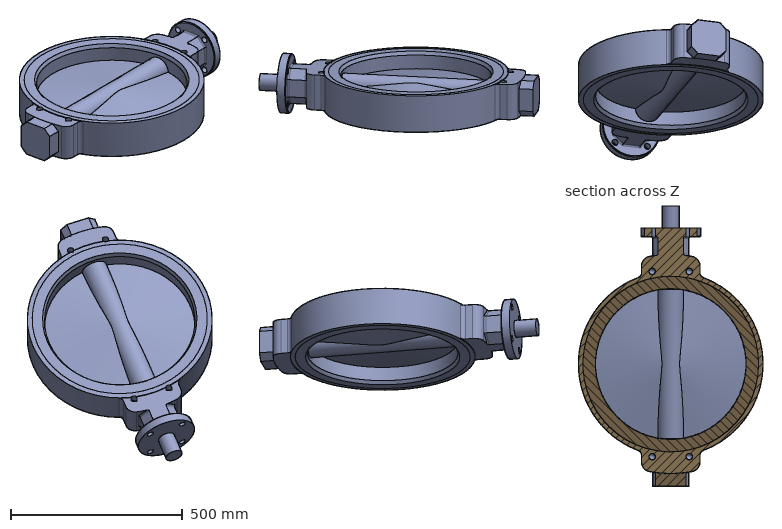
import cadquery as cq
import math


RING_DIAMETER = 538.0
RING_HEIGHT = 110.0

SEAT_RADIUS = 255.0
BORE_RADIUS = 219.0
BORE_CHAMFER_WIDTH = 6.0
BORE_CHAMFER_HEIGHT = 11.0

LUG_WIDTH = 171.0
LUG_HEIGHT = 106.0
LUG_END_RADIUS = 319.5
LUG_CORNER_RADIUS = 29.0
LUG_ROOT_RADIUS = 15.0

LUG_HOLE_DIAMETER = 18.0
LUG_HOLE_X = 54.0
LUG_HOLE_Y = 270.0
LUG_HOLE_DEPTH = 24.5
DRILL_POINT_ANGLE = 118

BLOCK_WIDTH = LUG_HEIGHT
NECK_CHAMFER = 27.0
NECK_FILLET = 4.0
JOINT_SAG = 8.0
JOINT_TOLERANCE = 1.0
CAP_CHAMFER = 20.0
CAP_END_Y = -356.0

FLANGE_RADIUS = 87.5
FLANGE_THICKNESS = 26.0
FLANGE_FACE_Y = 396.0
FLANGE_CHAMFER = 2.5
FLANGE_HOLE_DIAMETER = 18.0
FLANGE_HOLE_CIRCLE_DIAMETER = 140.0
FLANGE_HOLE_START_ANGLE = 45
FLANGE_HOLE_COUNT = 4

DISC_CENTRE_HALF_HEIGHT = 31.0
DISC_EDGE_HALF_HEIGHT = 3.0
HUB_DIAMETER = 76.0
HUB_HALF_LENGTH = 216.5

STEM_DIAMETER = 50.0
STEM_LENGTH = 752.0
STEM_TOP_Y = 461.0

RING_RADIUS = RING_DIAMETER / 2
HUB_RADIUS = HUB_DIAMETER / 2
STEM_RADIUS = STEM_DIAMETER / 2
FLANGE_BACK_Y = FLANGE_FACE_Y - FLANGE_THICKNESS
LUG_BAR_LENGTH = 3 * LUG_END_RADIUS
STEM_BOTTOM_Y = STEM_TOP_Y - STEM_LENGTH


def plate_z(radius, height):
    """Round plate about the bore axis, centred on Z = 0."""
    return cq.Workplane("XY").circle(radius).extrude(height / 2, both=True)


def revolve_about_bore(profile):
    """Solid of revolution about the Z axis from (radius, z) points."""
    return cq.Workplane("XZ").polyline(profile).close().revolve(360, (0, 0, 0), (0, 1, 0))


def workplane_at_y(y):
    """Plane square to the stem axis, facing +Y."""
    return cq.Workplane(cq.Plane(origin=(0, y, 0), xDir=(1, 0, 0), normal=(0, 1, 0)))


def rod_y(radius, y_start, y_end):
    """Round rod on the stem axis."""
    return workplane_at_y(y_start).circle(radius).extrude(y_end - y_start)


def octagon_y(chamfer, y_start, y_end):
    """Square bar on the stem axis with its four long edges chamfered."""
    bar = workplane_at_y(y_start).rect(BLOCK_WIDTH, BLOCK_WIDTH).extrude(y_end - y_start)
    return bar.edges("|Y").chamfer(chamfer)


def make_stem():
    """Straight stem; its shape also cuts the holes that it passes through."""
    return rod_y(STEM_RADIUS, STEM_BOTTOM_Y, STEM_TOP_Y)


def make_lug_bar():
    """Bar across the ring that forms both lugs, with rounded outer corners."""
    bar = cq.Workplane("XY").rect(LUG_WIDTH, LUG_BAR_LENGTH).extrude(LUG_HEIGHT / 2, both=True)
    bar = bar.intersect(plate_z(LUG_END_RADIUS, LUG_HEIGHT))
    return bar.edges("|Z").fillet(LUG_CORNER_RADIUS)


def make_lug_roots():
    """Concave fillets between the lug sides and the ring."""
    side_x = LUG_WIDTH / 2
    centre_x = side_x + LUG_ROOT_RADIUS
    centre_radius = RING_RADIUS + LUG_ROOT_RADIUS
    centre_y = math.sqrt(centre_radius**2 - centre_x**2)
    on_ring = RING_RADIUS / centre_radius
    inner_y = centre_y - 2 * LUG_ROOT_RADIUS
    root = (
        cq.Workplane("XY")
        .polyline([(side_x, inner_y), (side_x, centre_y), (centre_x, centre_y)])
        .lineTo(centre_x * on_ring, centre_y * on_ring)
        .close()
        .extrude(LUG_HEIGHT / 2, both=True)
    )
    relief = cq.Workplane("XY").center(centre_x, centre_y).circle(LUG_ROOT_RADIUS)
    root = root.cut(relief.extrude(LUG_HEIGHT / 2, both=True))
    pair = root.union(root.mirror("YZ"))
    return pair.union(pair.mirror("XZ"))


def make_lug_holes():
    """Four blind holes with conical bottoms, drilled from the top of the lugs."""
    radius = LUG_HOLE_DIAMETER / 2
    top_z = RING_HEIGHT / 2
    floor_z = LUG_HEIGHT / 2 - LUG_HOLE_DEPTH
    tip_z = floor_z - radius / math.tan(math.radians(DRILL_POINT_ANGLE / 2))
    drill = revolve_about_bore([(0, tip_z), (radius, floor_z), (radius, top_z), (0, top_z)])
    holes = cq.Workplane("XY")
    for x in (-LUG_HOLE_X, LUG_HOLE_X):
        for y in (-LUG_HOLE_Y, LUG_HOLE_Y):
            holes = holes.add(drill.translate((x, y, 0)))
    return holes.combine()


def make_flange():
    """Actuator flange with a chamfered back edge and four bolt holes."""
    flange = rod_y(FLANGE_RADIUS, FLANGE_BACK_Y, FLANGE_FACE_Y)
    flange = flange.faces("<Y").edges().chamfer(FLANGE_CHAMFER)
    bolt_holes = (
        workplane_at_y(FLANGE_BACK_Y)
        .polarArray(FLANGE_HOLE_CIRCLE_DIAMETER / 2, FLANGE_HOLE_START_ANGLE, 360, FLANGE_HOLE_COUNT)
        .circle(FLANGE_HOLE_DIAMETER / 2)
        .extrude(FLANGE_THICKNESS)
    )
    return flange.cut(bolt_holes)


def make_neck():
    """Octagonal neck with the flange on its end."""
    return octagon_y(NECK_CHAMFER, RING_RADIUS, FLANGE_BACK_Y).union(make_flange())


def neck_edges_near(joint_y):
    """Selector for the edges where the end of the neck at joint_y meets the lug or the flange."""
    half = BLOCK_WIDTH / 2 + JOINT_TOLERANCE
    lowest = (-half, joint_y - JOINT_SAG, -half)
    highest = (half, joint_y + JOINT_TOLERANCE, half)
    return cq.selectors.BoxSelector(lowest, highest, boundingbox=True)


def make_housing():
    """Ring, lugs, neck and flange in one casting, open for the seat and the stem."""
    body = plate_z(RING_RADIUS, RING_HEIGHT)
    body = body.union(make_lug_bar()).union(make_lug_roots()).union(make_neck())
    for joint_y in (LUG_END_RADIUS, FLANGE_BACK_Y):
        body = body.edges(neck_edges_near(joint_y)).fillet(NECK_FILLET)
    body = body.cut(make_lug_holes())
    body = body.cut(plate_z(SEAT_RADIUS, RING_HEIGHT))
    return body.cut(make_stem())


def make_seat():
    """Liner with a steep chamfer at both ends of its bore, recessed for the hub ends."""
    end_z = RING_HEIGHT / 2
    chamfer_z = end_z - BORE_CHAMFER_HEIGHT
    mouth_radius = BORE_RADIUS + BORE_CHAMFER_WIDTH
    profile = [
        (SEAT_RADIUS, -end_z),
        (SEAT_RADIUS, end_z),
        (mouth_radius, end_z),
        (BORE_RADIUS, chamfer_z),
        (BORE_RADIUS, -chamfer_z),
        (mouth_radius, -end_z),
    ]
    seat = revolve_about_bore(profile)
    seat = seat.cut(rod_y(HUB_RADIUS, -HUB_HALF_LENGTH, HUB_HALF_LENGTH))
    return seat.cut(make_stem())


def make_disc():
    """Disc that is conical on both faces, with a hub along the stem."""
    profile = [
        (0, -DISC_CENTRE_HALF_HEIGHT),
        (BORE_RADIUS, -DISC_EDGE_HALF_HEIGHT),
        (BORE_RADIUS, DISC_EDGE_HALF_HEIGHT),
        (0, DISC_CENTRE_HALF_HEIGHT),
    ]
    disc = revolve_about_bore(profile)
    disc = disc.union(rod_y(HUB_RADIUS, -HUB_HALF_LENGTH, HUB_HALF_LENGTH))
    return disc.cut(make_stem())


def make_end_cap():
    """Octagonal cap fitted to the curved end of the lower lug."""
    cap = octagon_y(CAP_CHAMFER, CAP_END_Y, -RING_RADIUS)
    return cap.cut(plate_z(LUG_END_RADIUS, 2 * BLOCK_WIDTH))


housing = make_housing()
seat = make_seat()
disc = make_disc()
stem = make_stem()
end_cap = make_end_cap()

result = cq.Compound.makeCompound(
    [housing.val(), seat.val(), disc.val(), stem.val(), end_cap.val()]
)